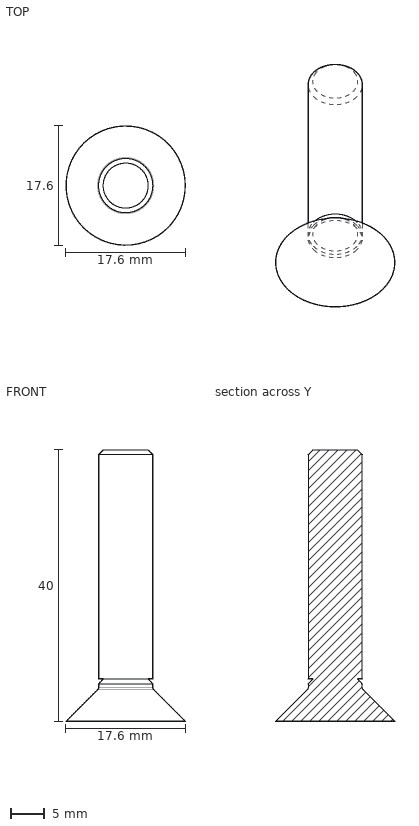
import cadquery as cq
import math

total_length = 40.0
head_radius = 8.8
shank_radius = 4.0
core_radius = 3.3
collar_top = 5.5
relief_top = 6.25
neck_fillet_radius = 0.5

head_height = head_radius - shank_radius
tip_chamfer_height = shank_radius - core_radius


def revolved_screw():
    """Revolve the half section of the screw about the Z axis."""
    flank_angle = math.radians(45)
    tangent_length = neck_fillet_radius * math.tan(flank_angle / 2)
    fillet_start = (
        shank_radius + tangent_length * math.sin(flank_angle),
        head_height - tangent_length * math.cos(flank_angle),
    )
    fillet_end = (shank_radius, head_height + tangent_length)
    fillet_middle = (
        shank_radius + neck_fillet_radius * (1 - math.cos(flank_angle / 2)),
        fillet_end[1] - neck_fillet_radius * math.sin(flank_angle / 2),
    )
    return (
        cq.Workplane("XZ")
        .lineTo(head_radius, 0)
        .lineTo(*fillet_start)
        .threePointArc(fillet_middle, fillet_end)
        .lineTo(shank_radius, collar_top)
        .lineTo(core_radius, relief_top)
        .lineTo(shank_radius, relief_top)
        .lineTo(shank_radius, total_length - tip_chamfer_height)
        .lineTo(core_radius, total_length)
        .lineTo(0, total_length)
        .close()
        .revolve(360, (0, 0, 0), (0, 1, 0))
    )


result = revolved_screw()